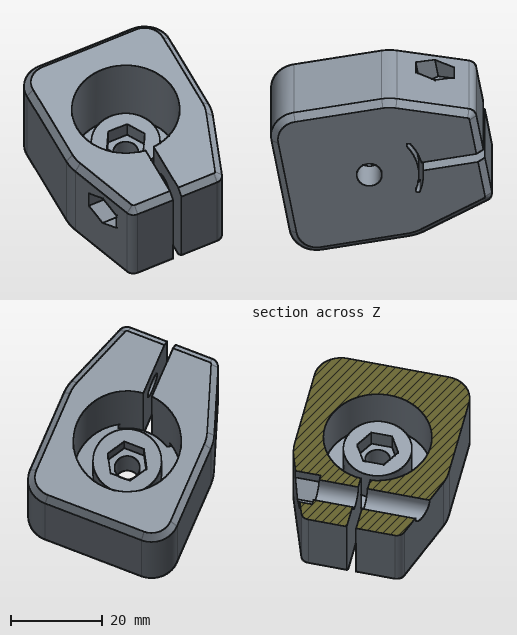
import cadquery as cq
import math


HEIGHT = 25.0
HALF_WIDTH = 17.3
BACK_X = -19.65
FRONT_X = 25.4
TAPER_START_X = 7.45
FRONT_HALF_WIDTH = 11.05
BACK_RADIUS = 6.0
TAPER_RADIUS = 10.0
FRONT_RADIUS = 2.0
CHAMFER = 1.5
TURN_ANGLE = -45.0

BORE_DIAMETER = 23.5
FLOOR_THICKNESS = 5.0
PLUG_DIAMETER = 14.95
PLUG_TOP_Z = 13.0

SLIT_WIDTH = 2.0
ARC_SLOT_WIDTH = 1.0
ARC_SLOT_HALF_ANGLE = 30.0

BOLT_HOLE_DIAMETER = 5.5
NUT_ACROSS_FLATS = 8.0
NUT_CORNER_DIAMETER = NUT_ACROSS_FLATS / math.cos(math.pi / 6)
NUT_TURN = 30.0
PLUG_NUT_DEPTH = 4.0
CLAMP_BOLT_X = 17.0
CLAMP_BOLT_Z = 17.0
CLAMP_NUT_FLOOR_Y = -9.8


def vertical_edges_near(x, half_width):
    """Select the mirrored pair of vertical edges at (x, +/-half_width)."""
    reach = 0.5
    selector = None
    for y in (-half_width, half_width):
        box = cq.selectors.BoxSelector((x - reach, y - reach, 0), (x + reach, y + reach, HEIGHT))
        selector = box if selector is None else selector + box
    return selector


def make_body():
    half_outline = [
        (BACK_X, HALF_WIDTH),
        (TAPER_START_X, HALF_WIDTH),
        (FRONT_X, FRONT_HALF_WIDTH),
    ]
    mirrored = [(x, -y) for x, y in reversed(half_outline)]
    body = cq.Workplane("XY").polyline(half_outline + mirrored).close().extrude(HEIGHT)
    radii = (BACK_RADIUS, TAPER_RADIUS, FRONT_RADIUS)
    for (x, half_width), radius in zip(half_outline, radii):
        body = body.edges("|Z").edges(vertical_edges_near(x, half_width)).fillet(radius)
    return body.faces("<Z or >Z").edges().chamfer(CHAMFER)


def make_bore():
    """Ring-shaped cavity that leaves the plug, open to full diameter above it."""
    cavity = (
        cq.Workplane("XY", origin=(0, 0, FLOOR_THICKNESS))
        .circle(BORE_DIAMETER / 2)
        .extrude(HEIGHT - FLOOR_THICKNESS)
    )
    plug = cq.Workplane("XY").circle(PLUG_DIAMETER / 2).extrude(PLUG_TOP_Z)
    return cavity.cut(plug)


def make_plug_bolt_hole():
    hole = cq.Workplane("XY").circle(BOLT_HOLE_DIAMETER / 2).extrude(PLUG_TOP_Z)
    pocket = (
        cq.Workplane("XY", origin=(0, 0, PLUG_TOP_Z - PLUG_NUT_DEPTH))
        .transformed(rotate=(0, 0, NUT_TURN))
        .polygon(6, NUT_CORNER_DIAMETER)
        .extrude(PLUG_NUT_DEPTH)
    )
    return hole.union(pocket)


def make_slit():
    start_x = (BORE_DIAMETER - ARC_SLOT_WIDTH) / 2
    return cq.Workplane("XY").box(
        FRONT_X - start_x, SLIT_WIDTH, HEIGHT, centered=(False, True, False)
    ).translate((start_x, 0, 0))


def make_arc_slot():
    """Round-ended slot through the floor, following the wall of the bore."""
    outer = BORE_DIAMETER / 2
    inner = outer - ARC_SLOT_WIDTH
    middle = (outer + inner) / 2

    def at(radius, angle):
        return (radius * math.cos(math.radians(angle)), radius * math.sin(math.radians(angle)))

    start, end = -ARC_SLOT_HALF_ANGLE, ARC_SLOT_HALF_ANGLE
    end_angle = math.degrees(ARC_SLOT_WIDTH / 2 / middle)
    return (
        cq.Workplane("XY")
        .moveTo(*at(outer, start))
        .threePointArc(at(outer, 0), at(outer, end))
        .threePointArc(at(middle, end + end_angle), at(inner, end))
        .threePointArc(at(inner, 0), at(inner, start))
        .threePointArc(at(middle, start - end_angle), at(outer, start))
        .close()
        .extrude(FLOOR_THICKNESS)
    )


def make_clamp_bolt_hole():
    """Cross hole through both jaws, with a nut pocket in the -Y jaw."""
    axis = cq.Workplane("XZ", origin=(CLAMP_BOLT_X, 0, CLAMP_BOLT_Z))
    hole = axis.circle(BOLT_HOLE_DIAMETER / 2).extrude(HALF_WIDTH, both=True)
    pocket = (
        axis.workplane(offset=-CLAMP_NUT_FLOOR_Y)
        .transformed(rotate=(0, 0, NUT_TURN))
        .polygon(6, NUT_CORNER_DIAMETER)
        .extrude(HALF_WIDTH + CLAMP_NUT_FLOOR_Y)
    )
    return hole.union(pocket)


clamp = (
    make_body()
    .cut(make_bore())
    .cut(make_plug_bolt_hole())
    .cut(make_slit())
    .cut(make_arc_slot())
    .cut(make_clamp_bolt_hole())
)
result = clamp.rotate((0, 0, 0), (0, 0, 1), TURN_ANGLE)